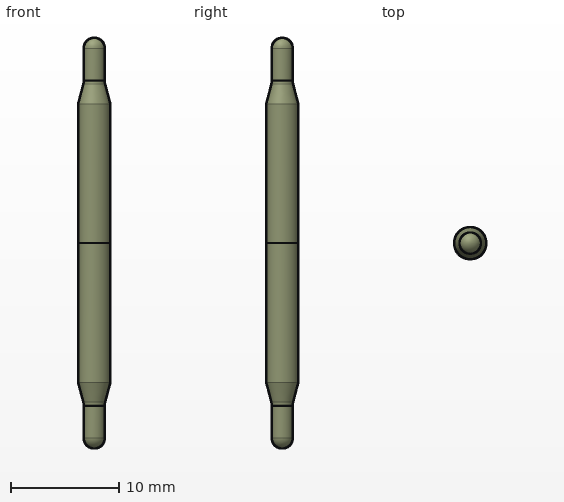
import cadquery as cq
import math

TOTAL_LENGTH = 38.0
HALF_LENGTH = TOTAL_LENGTH / 2
BARREL_RADIUS = 3.0 / 2
PIN_RADIUS = 1.0

SHOULDER_HEIGHT = 12.9
BARREL_HEIGHT = 15.05

COLLAR_LENGTH = 0.1
CONE_LENGTH = 1.82

TANGENCY_PASSES = 20


def collar_bend():
    """Start, middle and end of the arc that is tangent to both collar and cone."""
    start_z = BARREL_HEIGHT - COLLAR_LENGTH
    end_z = SHOULDER_HEIGHT + CONE_LENGTH
    drop = start_z - end_z

    cone_angle = 0.0
    for _ in range(TANGENCY_PASSES):
        end_radius = PIN_RADIUS + drop * math.tan(cone_angle / 2)
        cone_angle = math.atan((BARREL_RADIUS - end_radius) / CONE_LENGTH)

    bend_radius = drop / math.sin(cone_angle)

    def bend_point(angle):
        radius = PIN_RADIUS + bend_radius * (1 - math.cos(angle))
        return radius, start_z - bend_radius * math.sin(angle)

    return bend_point(0), bend_point(cone_angle / 2), bend_point(cone_angle)


def upper_barrel_half():
    """Cylinder, cone and collar, from the middle plane to the foot of the pin."""
    bend_start, bend_middle, bend_end = collar_bend()
    return (
        cq.Workplane("XZ")
        .lineTo(BARREL_RADIUS, 0)
        .lineTo(BARREL_RADIUS, SHOULDER_HEIGHT)
        .lineTo(*bend_end)
        .threePointArc(bend_middle, bend_start)
        .lineTo(PIN_RADIUS, BARREL_HEIGHT)
        .lineTo(0, BARREL_HEIGHT)
        .close()
        .revolve(360, (0, 0), (0, 1))
    )


def upper_pin():
    """Round contact pin with a hemispherical tip, standing on the barrel end."""
    dome_base = HALF_LENGTH - PIN_RADIUS
    diagonal = PIN_RADIUS * math.sqrt(0.5)
    return (
        cq.Workplane("XZ")
        .moveTo(0, BARREL_HEIGHT)
        .lineTo(PIN_RADIUS, BARREL_HEIGHT)
        .lineTo(PIN_RADIUS, dome_base)
        .threePointArc((diagonal, dome_base + diagonal), (0, HALF_LENGTH))
        .close()
        .revolve(360, (0, 0), (0, 1))
    )


barrel_halves = []
pins = []
for turn in (0, 180):
    barrel_halves.append(upper_barrel_half().rotate((0, 0, 0), (1, 0, 0), turn).val())
    pins.append(upper_pin().rotate((0, 0, 0), (1, 0, 0), turn).val())

result = cq.Compound.makeCompound([*barrel_halves, *pins])